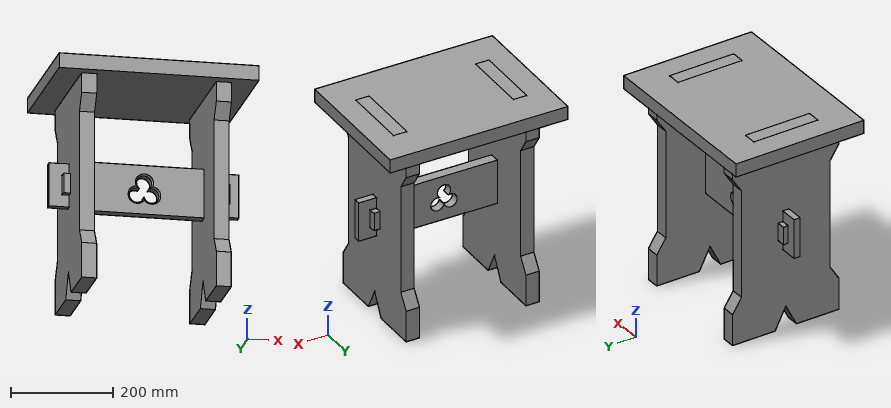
import cadquery as cq
import math

HEIGHT = 450.0
TOP_LENGTH = 400.0
TOP_DEPTH = 300.0
BOARD = 30.0

LEG_SPACING = 269.5
FOOT_WIDTH = 250.0
WAIST_WIDTH = 208.0
FOOT_HEIGHT = 71.0
HEAD_HEIGHT = 40.0
FLARE_HEIGHT = 32.5
NOTCH_WIDTH = 50.0
NOTCH_HEIGHT = 49.0
LEG_TENON_WIDTH = 150.5

STRETCHER_HEIGHT = 100.0
STRETCHER_THICKNESS = 22.5
STRETCHER_Z = HEIGHT / 2
TENON_LENGTH = 380.0
TENON_HEIGHT = 88.5
TENON_THICKNESS = 14.5

LOBE_RADIUS = 15.0
LOBE_SPACING = 29.2
TREFOIL_RISE = 2.0
TREFOIL_CHAMFER = 3.0

WEDGE_LENGTH = 40.0
WEDGE_HEIGHT = 40.0
WEDGE_THICK_END = 20.0
WEDGE_THIN_END = 13.0
WEDGE_FLAT_START = 10.0
WEDGE_SHIFT = 2.0

TOP_UNDERSIDE = HEIGHT - BOARD
LEG_OUTER_X = (LEG_SPACING + BOARD) / 2
LEG_INNER_X = (LEG_SPACING - BOARD) / 2
SIDES = (-1, 1)


def box(length, depth, height, x, y, z):
    """Box centred on (x, y, z)."""
    return cq.Workplane("XY").box(length, depth, height).translate((x, y, z))


def make_leg_tenon(side):
    return box(BOARD, LEG_TENON_WIDTH, BOARD, side * LEG_SPACING / 2, 0, HEIGHT - BOARD / 2)


def make_top():
    top = box(TOP_LENGTH, TOP_DEPTH, BOARD, 0, 0, HEIGHT - BOARD / 2)
    for side in SIDES:
        top = top.cut(make_leg_tenon(side))
    return top


def make_tenon_bar():
    """Full-length bar whose two ends are the stretcher's tenons."""
    return box(TENON_LENGTH, TENON_THICKNESS, TENON_HEIGHT, 0, 0, STRETCHER_Z)


def make_leg(side):
    foot = FOOT_WIDTH / 2
    waist = WAIST_WIDTH / 2
    head_z = TOP_UNDERSIDE - HEAD_HEIGHT
    right_edge = [
        (NOTCH_WIDTH / 2, 0),
        (foot, 0),
        (foot, FOOT_HEIGHT),
        (waist, FOOT_HEIGHT + FLARE_HEIGHT),
        (waist, head_z - FLARE_HEIGHT),
        (foot, head_z),
        (foot, TOP_UNDERSIDE),
    ]
    left_edge = [(-y, z) for y, z in reversed(right_edge)]
    outline = right_edge + left_edge + [(0, NOTCH_HEIGHT)]
    board = (
        cq.Workplane("YZ")
        .polyline(outline)
        .close()
        .extrude(BOARD / 2, both=True)
        .translate((side * LEG_SPACING / 2, 0, 0))
    )
    return board.union(make_leg_tenon(side)).cut(make_tenon_bar())


def make_wedge(side):
    """Tapered key on the outer face of a leg, cut flat where it bears on the tenon."""
    end = WEDGE_LENGTH / 2
    taper = (WEDGE_THICK_END - WEDGE_THIN_END) / WEDGE_LENGTH
    hook_y = TENON_THICKNESS / 2 + WEDGE_SHIFT
    flat_y = WEDGE_FLAT_START - end
    flat_thickness = WEDGE_THIN_END + taper * WEDGE_FLAT_START
    hook_thickness = WEDGE_THIN_END + taper * (hook_y + end)
    outline = [
        (0, -end),
        (-WEDGE_THIN_END, -end),
        (-flat_thickness, flat_y),
        (-flat_thickness, hook_y),
        (-hook_thickness, hook_y),
        (-WEDGE_THICK_END, end),
        (0, end),
    ]
    left_wedge = (
        cq.Workplane("XY")
        .polyline(outline)
        .close()
        .extrude(WEDGE_HEIGHT / 2, both=True)
        .translate((-LEG_OUTER_X, -WEDGE_SHIFT, STRETCHER_Z))
    )
    half_turn = 180 if side > 0 else 0
    return left_wedge.rotate((0, 0, 0), (0, 0, 1), half_turn)


def make_trefoil_cutter():
    """Three round lobes joined through the middle, widened at the front face."""
    rise = LOBE_SPACING * math.sqrt(3) / 2
    low_z = STRETCHER_Z + TREFOIL_RISE - rise / 2
    centres = [(-LOBE_SPACING / 2, low_z), (LOBE_SPACING / 2, low_z), (0, low_z + rise)]
    front_y = -STRETCHER_THICKNESS / 2
    front = cq.Workplane("XZ", origin=(0, front_y, 0))
    cutter = front.polyline(centres).close().extrude(-STRETCHER_THICKNESS)
    for x, z in centres:
        lobe = front.center(x, z).circle(LOBE_RADIUS).extrude(-STRETCHER_THICKNESS)
        flare = cq.Solid.makeCone(
            LOBE_RADIUS + TREFOIL_CHAMFER,
            LOBE_RADIUS,
            TREFOIL_CHAMFER,
            pnt=cq.Vector(x, front_y, z),
            dir=cq.Vector(0, 1, 0),
        )
        cutter = cutter.union(lobe).union(cq.Workplane(flare))
    return cutter


def make_stretcher():
    beam = box(2 * LEG_INNER_X, STRETCHER_THICKNESS, STRETCHER_HEIGHT, 0, 0, STRETCHER_Z)
    stretcher = beam.union(make_tenon_bar()).cut(make_trefoil_cutter())
    for side in SIDES:
        stretcher = stretcher.cut(make_wedge(side))
    return stretcher


top = make_top()
legs = [make_leg(side) for side in SIDES]
stretcher = make_stretcher()
wedges = [make_wedge(side) for side in SIDES]

result = cq.Compound.makeCompound(
    [top.val(), *[leg.val() for leg in legs], stretcher.val(), *[wedge.val() for wedge in wedges]]
)